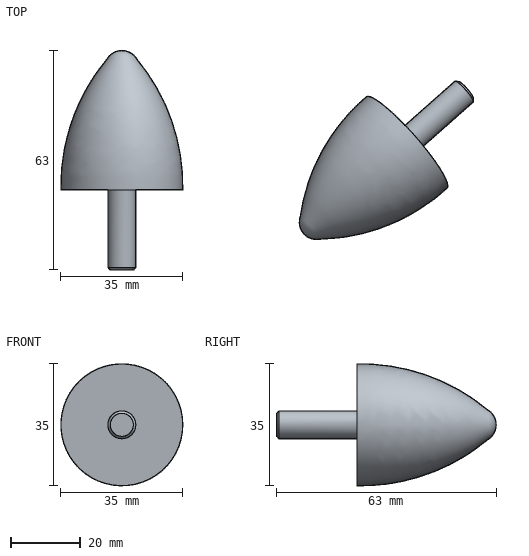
import cadquery as cq
import math

body_diameter = 35.0
body_length = 40.0
flank_radius = 57.0
nose_radius = 5.0
nose_height = 2.5

stud_diameter = 8.0
stud_length = 23.0
stud_chamfer = 0.7

body_radius = body_diameter / 2


def point_on_arc_middle(start, end, radius):
    """Middle point of the arc from start to end, bulging away from the Y axis."""
    chord_x = end[0] - start[0]
    chord_y = end[1] - start[1]
    chord = math.hypot(chord_x, chord_y)
    bulge = radius - math.sqrt(radius**2 - (chord / 2) ** 2)
    middle_x = (start[0] + end[0]) / 2 + bulge * chord_y / chord
    middle_y = (start[1] + end[1]) / 2 - bulge * chord_x / chord
    return (middle_x, middle_y)


def make_body():
    """Revolve the curved side and the rounded nose about the Y axis."""
    nose_edge_radius = math.sqrt(nose_radius**2 - (nose_radius - nose_height) ** 2)
    seat_edge = (body_radius, 0)
    nose_edge = (nose_edge_radius, body_length - nose_height)
    tip = (0, body_length)
    return (
        cq.Workplane("XY")
        .lineTo(*seat_edge)
        .threePointArc(point_on_arc_middle(seat_edge, nose_edge, flank_radius), nose_edge)
        .threePointArc(point_on_arc_middle(nose_edge, tip, nose_radius), tip)
        .close()
        .revolve(360, (0, 0), (0, 1))
    )


def make_stud():
    """Cylinder from the seat toward -Y, chamfered at its free end."""
    return (
        cq.Workplane("XZ")
        .circle(stud_diameter / 2)
        .extrude(stud_length)
        .faces("<Y")
        .chamfer(stud_chamfer)
    )


result = make_body().union(make_stud())